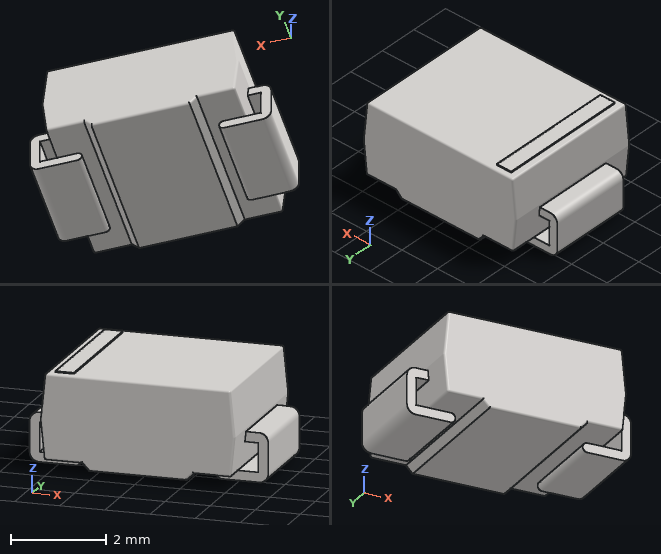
import cadquery as cq

overall_length = 5.29
body_width = 3.62
body_top = 2.185
belt_height = 1.165
shoulder_height = 0.29
foot_height = 0.125
belt_half_length = 2.16
end_taper = 0.1
shoulder_inner_x = 1.24
foot_half_length = 1.08
edge_radius = 0.055

lead_width = 2.095
lead_thickness = 0.22
lead_top = 1.09
lead_bend_radius = 0.2
lead_toe_x = 1.5

mark_length = 0.405
mark_width = 3.28
mark_thickness = 0.025
mark_left_x = -1.875


def end_face_x(height):
    """Half length of the body at a given height."""
    return belt_half_length - end_taper * abs(height - belt_height)


def make_body():
    """Moulded case with tapered ends and a raised foot under its middle."""
    right_half = [
        (foot_half_length, foot_height),
        (shoulder_inner_x, shoulder_height),
        (end_face_x(shoulder_height), shoulder_height),
        (belt_half_length, belt_height),
        (end_face_x(body_top), body_top),
    ]
    left_half = [(-x, z) for x, z in reversed(right_half)]
    case = (
        cq.Workplane("XZ")
        .polyline(right_half + left_half)
        .close()
        .extrude(body_width / 2, both=True)
    )
    rounded_edges = case.faces("<Y or >Y").edges()
    for side in (-1, 1):
        end_zone = cq.selectors.BoxSelector(
            (side * (shoulder_inner_x + edge_radius), -body_width, 0),
            (side * overall_length, body_width, overall_length),
        )
        rounded_edges = rounded_edges.add(case.edges("|Y").edges(end_zone))
    return rounded_edges.fillet(edge_radius)


def make_lead(side):
    """C-shaped lead butting against an end face; side is -1 (left) or 1 (right)."""
    outer_x = overall_length / 2
    inner_x = outer_x - lead_thickness
    arm_bottom = lead_top - lead_thickness
    toe_radius = lead_thickness / 2
    toe_start_x = lead_toe_x + toe_radius
    strip = (
        cq.Workplane("XZ")
        .moveTo(side * end_face_x(lead_top), lead_top)
        .lineTo(side * outer_x, lead_top)
        .lineTo(side * outer_x, 0)
        .lineTo(side * toe_start_x, 0)
        .threePointArc((side * lead_toe_x, toe_radius), (side * toe_start_x, lead_thickness))
        .lineTo(side * inner_x, lead_thickness)
        .lineTo(side * inner_x, arm_bottom)
        .lineTo(side * end_face_x(arm_bottom), arm_bottom)
        .close()
        .extrude(lead_width / 2, both=True)
    )
    outer_face = ">X" if side > 0 else "<X"
    return strip.faces(outer_face).edges("|Y").fillet(lead_bend_radius)


def make_polarity_mark():
    """Thin bar lying on the top face near the left end."""
    return (
        cq.Workplane("XY", origin=(mark_left_x, 0, body_top))
        .box(mark_length, mark_width, mark_thickness, centered=(False, True, False))
    )


body = make_body()
leads = [make_lead(side) for side in (-1, 1)]
polarity_mark = make_polarity_mark()

result = cq.Compound.makeCompound(
    [body.val(), *[lead.val() for lead in leads], polarity_mark.val()]
)